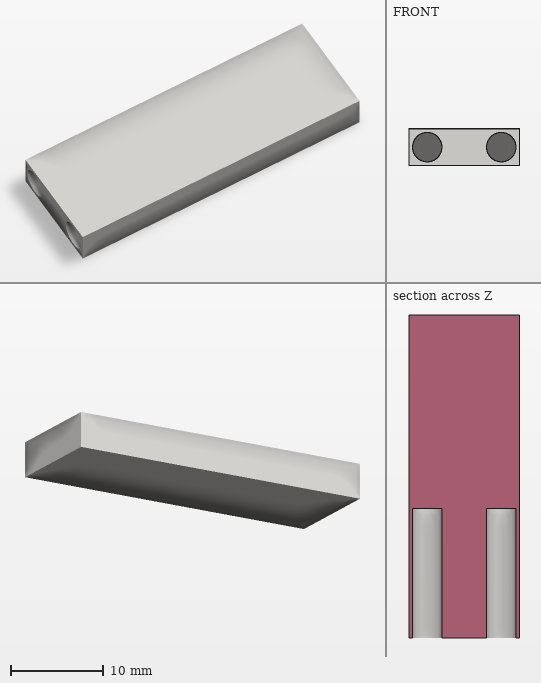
import cadquery as cq

width = 12.0
length = 35.0
height = 4.0

hole_diameter = 3.2
hole_spacing = 8.0
hole_depth = 14.0


def make_bar():
    """Plain rectangular bar centred on the origin."""
    return cq.Workplane("XY").box(width, length, height)


def drill_end_holes(bar):
    """Drill the pair of flat-bottomed holes along Y from the -Y end."""
    centers = [(-hole_spacing / 2, 0), (hole_spacing / 2, 0)]
    end_face = bar.faces("<Y").workplane(centerOption="CenterOfMass")
    return end_face.pushPoints(centers).hole(hole_diameter, hole_depth)


result = drill_end_holes(make_bar())